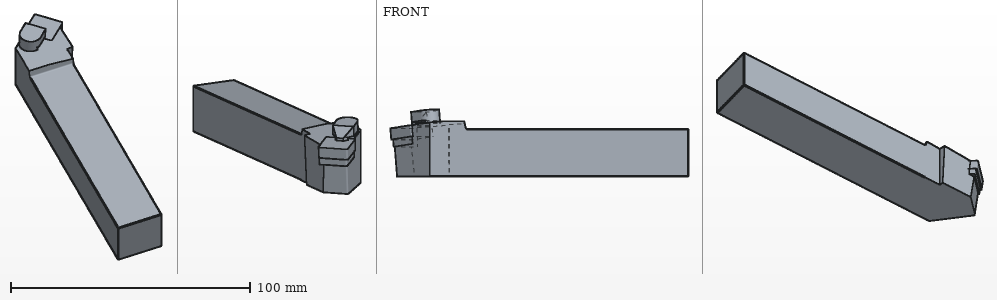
import cadquery as cq
import math

length = 124.7
shank_height = 20.0
shank_width = 20.0
edge_chamfer = 0.4
head_height = 23.2
head_width = 22.8
head_back_draft = 2.9
head_top_end = 30.9
head_foot_end = 31.7
head_side_end = 24.2
head_side_foot = 24.7
step_radius = 0.7
nose_radius = 0.7

insert_side = 12.7
insert_thickness = 4.7
insert_radius = 0.7
tilt = 6.3
insert_left_z = 20.2
insert_back_y = 24.7

shim_inset = 0.56
shim_thickness = 3.1
head_end_inset = 1.1
head_flank_inset = 0.6

clamp_nose = 9.2
clamp_shoulder = 12.7
clamp_end = 23.1
clamp_width = 9.1
nose_near_side = 4.2
nose_far_side = 7.2
clamp_height = 5.5
clamp_near_side = 0.6
nose_front_height = 1.2
nose_slope_end = 12.6
pad_end = 10.7
gap_end = 20.3
gap_height = 1.2

corner_overhang = insert_radius * (math.sqrt(2) - 1)
corner_x = -corner_overhang
corner_y = insert_back_y + corner_overhang - insert_side / math.sqrt(2)

step_lean = math.atan2(head_foot_end - head_top_end, head_height - shank_height)
step_tangent = step_radius * math.tan(math.pi / 4 - step_lean / 2)
shank_start = head_foot_end + step_tangent

slope = math.radians(tilt)
seat = cq.Plane(
    origin=(corner_x, corner_y, insert_left_z),
    xDir=(math.cos(slope) / math.sqrt(2), -math.cos(slope) / math.sqrt(2), math.sin(slope)),
    normal=(-math.sin(slope) / math.sqrt(2), math.sin(slope) / math.sqrt(2), math.cos(slope)),
)


def seat_box(start, near, bottom, end, far, top):
    """Box between two opposite corners given in the seat frame."""
    box = cq.Workplane("XY").box(end - start, far - near, top - bottom, centered=False)
    return cq.Workplane(box.translate((start, near, bottom)).val().moved(cq.Location(seat)))


def make_insert():
    plate = cq.Workplane("XY").box(insert_side, insert_side, insert_thickness, centered=False)
    plate = plate.edges("|Z").fillet(insert_radius).translate((0, 0, -insert_thickness))
    return cq.Workplane(plate.val().moved(cq.Location(seat)))


def make_shim():
    side = insert_side - shim_inset
    plate = cq.Workplane("XY").box(side, side, shim_thickness, centered=False)
    plate = plate.edges("|Z").fillet(insert_radius)
    plate = plate.translate((shim_inset, shim_inset, -insert_thickness - shim_thickness))
    return cq.Workplane(plate.val().moved(cq.Location(seat)))


def make_shank():
    bar = cq.Workplane("XY").box(length - shank_start, shank_width, shank_height, centered=False)
    bar = bar.translate((shank_start, 0, 0))
    return bar.edges("|X or >X").chamfer(edge_chamfer)


def make_head():
    flank_x = corner_x + corner_y + head_flank_inset * math.sqrt(2)
    flank = [(flank_x - head_width, head_width), (flank_x, 0)]
    plan = flank + [
        (shank_start, 0),
        (shank_start, shank_width),
        (head_side_foot, shank_width),
        (head_side_end, head_width),
    ]
    head = cq.Workplane("XY").polyline(plan).close().extrude(head_height)

    tangent_x = head_foot_end - step_tangent * math.sin(step_lean)
    tangent_z = shank_height + step_tangent * math.cos(step_lean)
    profile = (
        cq.Workplane("XZ")
        .moveTo(flank_x - head_width, 0)
        .lineTo(shank_start, 0)
        .lineTo(shank_start, shank_height)
        .radiusArc((tangent_x, tangent_z), step_radius)
        .lineTo(head_top_end, head_height)
        .lineTo(flank_x - head_width, head_height)
        .close()
    )
    head = head.intersect(profile.extrude(-head_width))
    head = head.edges("|X and <Y and <Z").chamfer(edge_chamfer)

    draft_run = head_height * math.tan(math.radians(head_back_draft))
    section = [(0, 0), (head_width - draft_run, 0), (head_width, head_height), (0, head_height)]
    back = cq.Workplane("YZ").polyline(section).close().extrude(shank_start)
    head = head.intersect(back)

    head = head.intersect(seat_box(head_end_inset, -length, -length, length, length, 0))

    corner = seat.toWorldCoords((head_end_inset, head_flank_inset, -head_height / 2))
    return head.edges(cq.selectors.NearestToPointSelector(corner.toTuple())).fillet(nose_radius)


def make_clamp():
    middle = clamp_near_side + clamp_width / 2
    radius = clamp_width / 2
    far_side = clamp_near_side + clamp_width
    arc_start = clamp_end - radius
    body = (
        cq.Workplane("XY")
        .moveTo(clamp_nose, nose_near_side)
        .lineTo(clamp_shoulder, clamp_near_side)
        .lineTo(arc_start, clamp_near_side)
        .threePointArc((clamp_end, middle), (arc_start, far_side))
        .lineTo(clamp_shoulder, far_side)
        .lineTo(clamp_nose, nose_far_side)
        .close()
        .extrude(clamp_height)
    )
    profile = [
        (clamp_nose, 0),
        (pad_end, 0),
        (pad_end, gap_height),
        (gap_end, gap_height),
        (gap_end, 0),
        (clamp_end, 0),
        (clamp_end, clamp_height),
        (nose_slope_end, clamp_height),
        (clamp_nose, nose_front_height),
    ]
    body = body.intersect(cq.Workplane("XZ").polyline(profile).close().extrude(-far_side))
    return cq.Workplane(body.val().moved(cq.Location(seat)))


insert = make_insert()
holder = make_head().union(make_shank()).cut(insert).union(make_shim()).union(make_clamp()).clean()

result = cq.Compound.makeCompound([holder.val(), insert.val()])